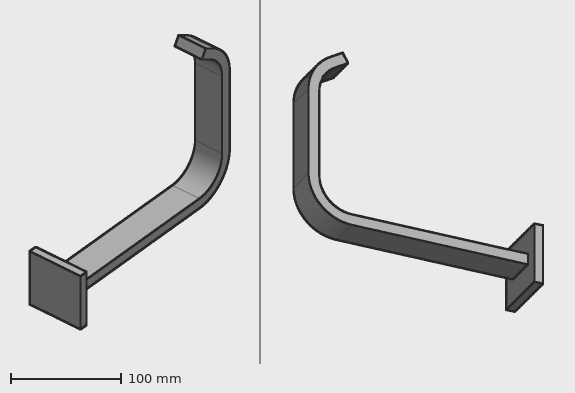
import cadquery as cq
import math

plate_size = 60.0
plate_thickness = 8.7

total_length = 229.0
bar_width = 32.0
bar_thickness = 11.0
inner_radius = 32.3
upright_length = 87.0
tip_length = 14.7
tip_bend_angle = 60.0
corner_bend_angle = 90.0

mid_radius = inner_radius + bar_thickness / 2
outer_radius = inner_radius + bar_thickness


def make_plate():
    return cq.Workplane("XY").box(
        plate_size, plate_thickness, plate_size, centered=(True, False, True)
    )


def make_hook_bar():
    """Sweep the bar section along its centre line, starting on the plate's back face."""
    bend_y = total_length - outer_radius
    upright_y = bend_y + mid_radius
    upright_top = mid_radius + upright_length

    def on_tip_bend(angle):
        radians = math.radians(angle)
        return (bend_y + mid_radius * math.cos(radians), upright_top + mid_radius * math.sin(radians))

    half_corner = math.radians(corner_bend_angle / 2)
    corner_middle = (
        bend_y + mid_radius * math.sin(half_corner),
        mid_radius * (1 - math.cos(half_corner)),
    )
    tip_start = on_tip_bend(tip_bend_angle)
    tip_end = (
        tip_start[0] - tip_length * math.sin(math.radians(tip_bend_angle)),
        tip_start[1] + tip_length * math.cos(math.radians(tip_bend_angle)),
    )
    centre_line = (
        cq.Workplane("YZ")
        .moveTo(plate_thickness, 0)
        .lineTo(bend_y, 0)
        .threePointArc(corner_middle, (upright_y, mid_radius))
        .lineTo(upright_y, upright_top)
        .threePointArc(on_tip_bend(tip_bend_angle / 2), tip_start)
        .lineTo(*tip_end)
    )
    section = cq.Workplane("XZ", origin=(0, plate_thickness, 0)).rect(bar_width, bar_thickness)
    return section.sweep(centre_line)


plate = make_plate()
hook_bar = make_hook_bar()

result = cq.Compound.makeCompound([plate.val(), hook_bar.val()])